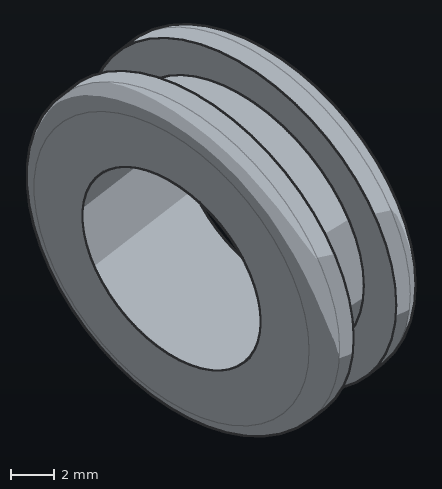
import cadquery as cq

outer_diameter = 19.0
groove_diameter = 15.0
bore_diameter = 11.0
width = 7.0
flange_thickness = 2.0
rim_radius = 1.0

groove_width = width - 2 * flange_thickness


def cylinder(diameter, length):
    """Cylinder along Y, centred on the origin."""
    start = cq.Workplane("XZ", origin=(0, length / 2, 0))
    return start.circle(diameter / 2).extrude(length)


body = cylinder(outer_diameter, width).faces("<Y or >Y").edges().fillet(rim_radius)

groove = cylinder(outer_diameter, groove_width).cut(cylinder(groove_diameter, groove_width))

bore = cylinder(bore_diameter, width)

result = body.cut(groove).cut(bore)